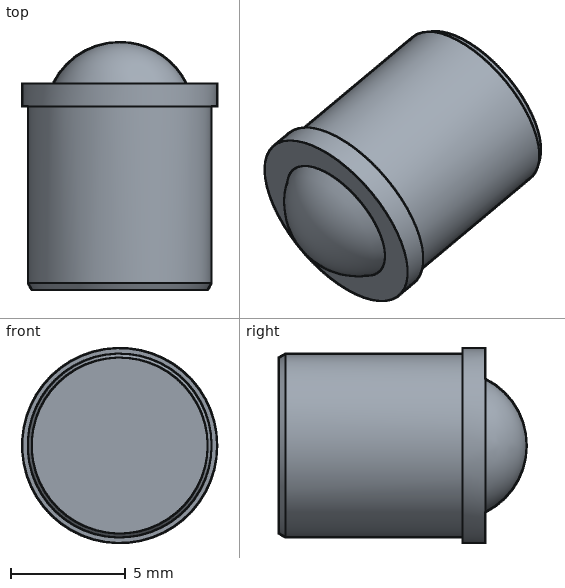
import cadquery as cq
import math

overall_length = 10.8
body_diameter = 8.0
flange_diameter = 8.5
flange_thickness = 1.0
ball_diameter = 6.48
ball_protrusion = 1.8
chamfer_length = 0.3
chamfer_depth = 0.17

body_radius = body_diameter / 2
flange_radius = flange_diameter / 2
ball_radius = ball_diameter / 2
flange_top = overall_length - ball_protrusion
flange_bottom = flange_top - flange_thickness

ball_center = overall_length - ball_radius
exposed_angle = math.acos((flange_top - ball_center) / ball_radius)
ball_rim_radius = ball_radius * math.sin(exposed_angle)
arc_middle = (
    ball_radius * math.sin(exposed_angle / 2),
    ball_center + ball_radius * math.cos(exposed_angle / 2),
)

profile = (
    cq.Workplane("XY")
    .lineTo(body_radius - chamfer_depth, 0)
    .lineTo(body_radius, chamfer_length)
    .lineTo(body_radius, flange_bottom)
    .lineTo(flange_radius, flange_bottom)
    .lineTo(flange_radius, flange_top)
    .lineTo(ball_rim_radius, flange_top)
    .threePointArc(arc_middle, (0, overall_length))
    .close()
)

result = profile.revolve(360, (0, 0, 0), (0, 1, 0))